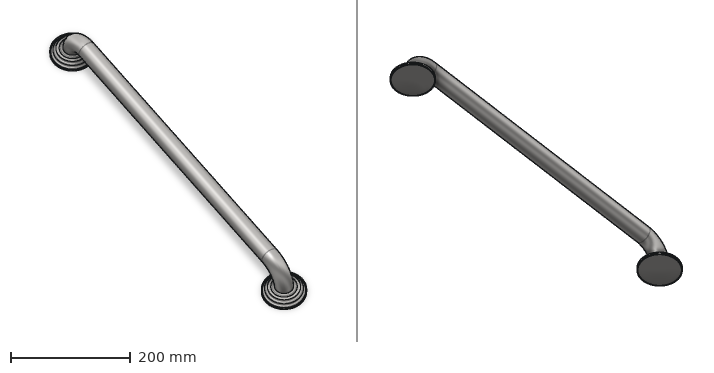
import cadquery as cq
import math

overall_length = 686.0
overall_height = 70.0
flange_diameter = 76.0

bar_diameter = 32.0
bend_radius = 41.0

plate_radius = 36.5
plate_thickness = 3.1

rim_height = 4.65
rim_ledge = 2.25
cove_width = 3.1
cove_height = 3.3
lower_lip = 0.95
middle_ledge = 1.85
upper_lip = 1.3
boss_top_radius = 20.5
boss_round = 1.7

bar_radius = bar_diameter / 2
flange_radius = flange_diameter / 2
leg_x = overall_length / 2 - flange_radius
bar_axis_z = overall_height - bar_radius
bend_start_z = bar_axis_z - bend_radius
bend_start_x = leg_x - bend_radius


def make_bar():
    """Round bar with both ends bent down through a quarter turn onto the mounting plates."""
    centre_line = (
        cq.Workplane("XZ")
        .moveTo(-leg_x, plate_thickness)
        .lineTo(-leg_x, bend_start_z)
        .radiusArc((-bend_start_x, bar_axis_z), bend_radius)
        .lineTo(bend_start_x, bar_axis_z)
        .radiusArc((leg_x, bend_start_z), bend_radius)
        .lineTo(leg_x, plate_thickness)
    )
    return (
        cq.Workplane("XY", origin=(-leg_x, 0, plate_thickness))
        .circle(bar_radius)
        .sweep(centre_line)
    )


def add_cove(profile, radius, height):
    """Add a hollow quarter round that starts flat at (radius, height) and ends upright."""
    diagonal = math.sqrt(0.5)
    top = height + cove_height
    middle_point = (radius - cove_width * diagonal, top - cove_height * diagonal)
    return profile.threePointArc(middle_point, (radius - cove_width, top))


def make_flange(x, bar):
    """Turned flange with two coves and a rounded boss, fitted around the bar and recessed for the plate."""
    lower_cove_start = flange_radius - rim_ledge
    lower_cove_end = lower_cove_start - cove_width
    middle_z = rim_height + cove_height + lower_lip
    upper_cove_start = lower_cove_end - middle_ledge
    upper_cove_end = upper_cove_start - cove_width
    upper_z = middle_z + cove_height + upper_lip
    top_z = upper_z + boss_round

    profile = (
        cq.Workplane("XZ")
        .moveTo(0, plate_thickness)
        .lineTo(plate_radius, plate_thickness)
        .lineTo(plate_radius, 0)
        .lineTo(flange_radius, 0)
        .lineTo(flange_radius, rim_height)
        .lineTo(lower_cove_start, rim_height)
    )
    profile = add_cove(profile, lower_cove_start, rim_height)
    profile = profile.lineTo(lower_cove_end, middle_z).lineTo(upper_cove_start, middle_z)
    profile = add_cove(profile, upper_cove_start, middle_z)
    profile = (
        profile.lineTo(upper_cove_end, upper_z)
        .lineTo(boss_top_radius + boss_round, upper_z)
        .radiusArc((boss_top_radius, top_z), -boss_round)
        .lineTo(0, top_z)
        .close()
    )
    blank = profile.revolve(360, (0, 0, 0), (0, 1, 0)).translate((x, 0, 0))
    return blank.cut(bar)


def make_mounting_plate(x):
    """Plain disc that closes the underside of a flange and carries the end of the bar."""
    return cq.Workplane("XY", origin=(x, 0, 0)).circle(plate_radius).extrude(plate_thickness)


bar = make_bar()
flanges = []
mounting_plates = []
for end_x in (-leg_x, leg_x):
    flanges.append(make_flange(end_x, bar).val())
    mounting_plates.append(make_mounting_plate(end_x).val())

result = cq.Compound.makeCompound([bar.val(), *flanges, *mounting_plates])